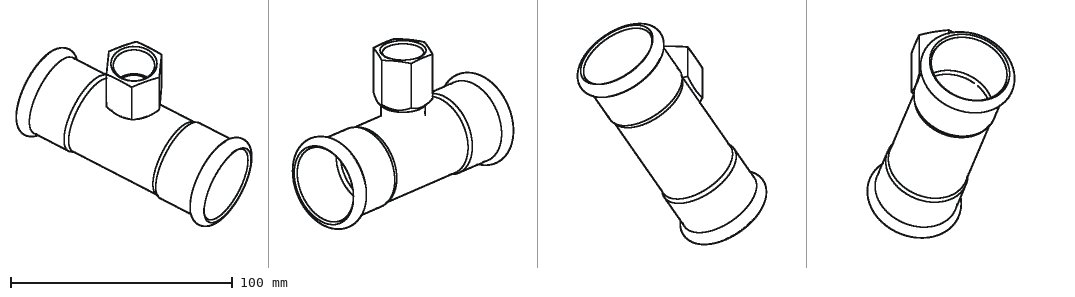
import cadquery as cq
import math

run_length = 102.5
half_run = run_length / 2
tube_radius = 37.0 / 2
tube_bore_radius = 34.0 / 2
socket_radius = 38.4 / 2
socket_bore_radius = 35.4 / 2
socket_length = 26.1
taper_length = 2.0

bead_radius = 43.7 / 2
bead_round_radius = 3.7
mouth_radius = 37.3 / 2

groove_radius = 35.8 / 2
groove_floor_width = 3.1
groove_runout = 1.0

branch_top = 50.0
neck_radius = 20.0 / 2
neck_fillet = 0.7
nut_flats = 23.9
nut_corners = nut_flats / math.cos(math.radians(30))
nut_bottom = 23.9
nut_bottom_radius = 10.1
nut_top_radius = 11.8
nut_top_chamfer_height = 0.4
branch_bore_radius = 17.0 / 2
thread_radius = 18.7 / 2
thread_mouth_radius = 20.8 / 2
thread_depth = 17.4


def mirrored_pair(body):
    return body.union(body.mirror("YZ"))


def run_exterior():
    """Tube with the stepped sockets and rounded beads, before boring."""
    bead_center_radius = bead_radius - bead_round_radius
    mouth_rise = mouth_radius - bead_center_radius
    bead_center_x = -half_run + math.sqrt(bead_round_radius**2 - mouth_rise**2)
    socket_rise = socket_radius - bead_center_radius
    bead_end_x = bead_center_x + math.sqrt(bead_round_radius**2 - socket_rise**2)
    socket_end_x = -half_run + socket_length
    half = (
        cq.Workplane("XY")
        .moveTo(-half_run, 0)
        .lineTo(-half_run, mouth_radius)
        .threePointArc((bead_center_x, bead_radius), (bead_end_x, socket_radius))
        .lineTo(socket_end_x, socket_radius)
        .lineTo(socket_end_x + taper_length, tube_radius)
        .lineTo(0, tube_radius)
        .lineTo(0, 0)
        .close()
        .revolve(360, (0, 0, 0), (1, 0, 0))
    )
    return mirrored_pair(half)


def run_bore():
    """Through bore, socket bores and the shallow groove inside each bead."""
    chamfer_end_x = -half_run + mouth_radius - socket_bore_radius
    groove_center_x = -half_run + bead_round_radius
    groove_start_x = groove_center_x - groove_floor_width / 2
    groove_end_x = groove_center_x + groove_floor_width / 2
    socket_end_x = -half_run + socket_length
    half = (
        cq.Workplane("XY")
        .moveTo(-half_run, 0)
        .lineTo(-half_run, mouth_radius)
        .lineTo(chamfer_end_x, socket_bore_radius)
        .lineTo(groove_start_x, groove_radius)
        .lineTo(groove_end_x, groove_radius)
        .lineTo(groove_end_x + groove_runout, socket_bore_radius)
        .lineTo(socket_end_x, socket_bore_radius)
        .lineTo(socket_end_x + taper_length, tube_bore_radius)
        .lineTo(0, tube_bore_radius)
        .lineTo(0, 0)
        .close()
        .revolve(360, (0, 0, 0), (1, 0, 0))
    )
    return mirrored_pair(half)


def nut():
    """Hexagonal prism trimmed by a 45 degree cone below and a shallow cone on top."""
    corner_radius = nut_corners / 2
    cone_top = nut_bottom + corner_radius - nut_bottom_radius
    prism = (
        cq.Workplane("XY")
        .workplane(offset=nut_bottom)
        .polygon(6, nut_corners)
        .extrude(branch_top - nut_bottom)
    )
    envelope = (
        cq.Workplane("XZ")
        .moveTo(0, nut_bottom)
        .lineTo(nut_bottom_radius, nut_bottom)
        .lineTo(corner_radius, cone_top)
        .lineTo(corner_radius, branch_top - nut_top_chamfer_height)
        .lineTo(nut_top_radius, branch_top)
        .lineTo(0, branch_top)
        .close()
        .revolve(360, (0, 0, 0), (0, 1, 0))
    )
    return prism.intersect(envelope)


def branch_bore():
    """Clear bore into the run, with the wider threaded length and its lead-in."""
    thread_bottom = branch_top - thread_depth
    lead_in_height = thread_mouth_radius - thread_radius
    return (
        cq.Workplane("XZ")
        .lineTo(branch_bore_radius, 0)
        .lineTo(branch_bore_radius, thread_bottom)
        .lineTo(thread_radius, thread_bottom)
        .lineTo(thread_radius, branch_top - lead_in_height)
        .lineTo(thread_mouth_radius, branch_top)
        .lineTo(0, branch_top)
        .close()
        .revolve(360, (0, 0, 0), (0, 1, 0))
    )


def neck_joint():
    """Selector for the curved edge where the neck meets the tube."""
    margin = 1.0
    reach = neck_radius + margin
    return cq.selectors.BoxSelector(
        (-reach, -reach, tube_radius - neck_radius),
        (reach, reach, tube_radius + margin),
        boundingbox=True,
    )


neck = cq.Workplane("XY").circle(neck_radius).extrude(nut_bottom)
body = run_exterior().union(neck)
body = body.edges(neck_joint()).fillet(neck_fillet)
result = body.union(nut()).cut(run_bore()).cut(branch_bore())